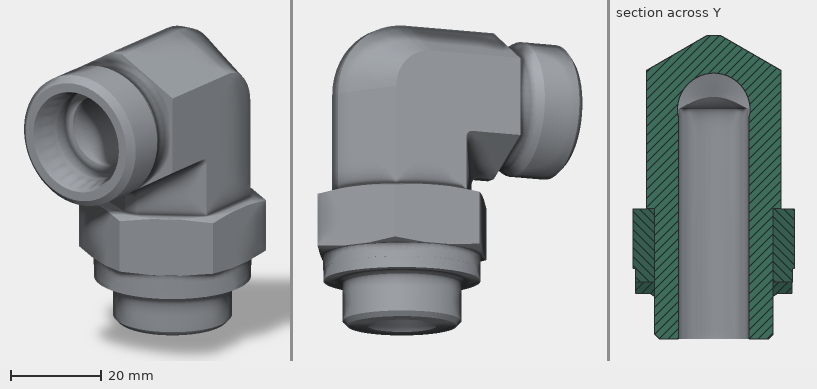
import cadquery as cq
import math


arm_flats = 30.0
arm_half_depth = 16.45
port_arm_length = 21.9
inner_corner_radius = 1.7

port_end = 38.0
port_diameter = arm_flats
port_neck_diameter = 27.05
port_neck_radius = 1.15
port_shoulder_start = 28.0
port_shoulder_angle = 30
port_chamfer = 1.5

socket_mouth_diameter = 23.0
socket_diameter = 20.0
socket_cone_angle = 12
socket_depth = 10.45
port_bore_diameter = 16.0
stem_bore_diameter = 15.5
drill_half_angle = 60

stem_end = 51.0
stem_diameter = 26.45
stem_chamfer = 1.1

nut_flats = 36.0
nut_top = 22.05
nut_height = 13.3
nut_chamfer_diameter = 35.75
nut_chamfer_angle = 15
collar_diameter = 35.0
collar_height = 3.05

ring_diameter = 34.95
ring_height = 2.5
lip_diameter = 28.25
lip_height = 0.7


def tan_deg(angle):
    return math.tan(math.radians(angle))


def revolve_on_z(points):
    """Turn an outline of (radius, height) points about Z."""
    return cq.Workplane("YZ").polyline(points).close().revolve(360, (0, 0, 0), (0, 1, 0))


def arm_outline():
    """Cross-section of an arm, centred, with its points along the second axis."""
    half_flats = arm_flats / 2
    corner = half_flats * tan_deg(30)
    point_half_width = (2 * corner - arm_half_depth) / tan_deg(30)
    upper = [
        (half_flats, corner),
        (point_half_width, arm_half_depth),
        (-point_half_width, arm_half_depth),
        (-half_flats, corner),
    ]
    lower = [(-x, -y) for x, y in upper]
    return upper, lower


def elbow_arms():
    upper, lower = arm_outline()
    stem_arm = cq.Workplane("XY").polyline(upper + lower).close().extrude(-nut_top)
    port_arm = cq.Workplane("XZ").polyline(upper + lower).close().extrude(port_arm_length)

    half_outline = [(arm_flats / 2, 0)] + upper + [(-arm_flats / 2, 0)]
    bend = cq.Workplane("XY").polyline(half_outline).close().revolve(90, (0, 0, 0), (1, 0, 0))

    arms = stem_arm.union(port_arm).union(bend)

    corner_depth = arm_flats / 2 * tan_deg(30)
    edge_zone = cq.selectors.BoxSelector(
        (-arm_flats, -arm_half_depth - 0.7, -arm_half_depth - 0.7),
        (arm_flats, -corner_depth - 0.7, -corner_depth - 0.7),
    )
    mitre_edges = arms.edges(edge_zone).filter(
        lambda edge: all(abs(v.Y - v.Z) < 0.001 for v in edge.Vertices())
    )
    return mitre_edges.fillet(inner_corner_radius)


def on_port_axis(body):
    """Lay a body made along +Z onto the port axis, pointing to -Y."""
    return body.rotate((0, 0, 0), (1, 0, 0), 90)


def port_outside():
    neck_r = port_neck_diameter / 2
    outer_r = port_diameter / 2
    shoulder_length = (outer_r - neck_r) / tan_deg(port_shoulder_angle)
    shoulder_foot = port_shoulder_start - shoulder_length
    blend = port_neck_radius * tan_deg(port_shoulder_angle / 2)
    angle = math.radians(port_shoulder_angle)
    mid_angle = angle / 2
    blend_start = shoulder_foot - blend
    blend_mid = (
        neck_r + port_neck_radius * (1 - math.cos(mid_angle)),
        blend_start + port_neck_radius * math.sin(mid_angle),
    )
    blend_end = (neck_r + blend * math.sin(angle), shoulder_foot + blend * math.cos(angle))
    root_mid_offset = port_neck_radius * (1 - math.sqrt(0.5))
    profile = (
        cq.Workplane("XZ")
        .moveTo(0, port_arm_length)
        .lineTo(neck_r + port_neck_radius, port_arm_length)
        .threePointArc(
            (neck_r + root_mid_offset, port_arm_length + root_mid_offset),
            (neck_r, port_arm_length + port_neck_radius),
        )
        .lineTo(neck_r, blend_start)
        .threePointArc(blend_mid, blend_end)
        .lineTo(outer_r, port_shoulder_start)
        .lineTo(outer_r, port_end - port_chamfer)
        .lineTo(outer_r - port_chamfer, port_end)
        .lineTo(0, port_end)
        .close()
    )
    return on_port_axis(profile.revolve(360, (0, 0, 0), (0, 1, 0)))


def port_cavity():
    mouth_r = socket_mouth_diameter / 2
    socket_r = socket_diameter / 2
    bore_r = port_bore_diameter / 2
    cone_depth = (mouth_r - socket_r) / tan_deg(socket_cone_angle)
    cavity = revolve_on_z([
        (0, -bore_r / tan_deg(drill_half_angle)),
        (bore_r, 0),
        (bore_r, port_end - socket_depth),
        (socket_r, port_end - socket_depth),
        (socket_r, port_end - cone_depth),
        (mouth_r, port_end),
        (0, port_end),
    ])
    return on_port_axis(cavity)


def stem_bore():
    bore_r = stem_bore_diameter / 2
    return revolve_on_z([
        (0, -stem_end),
        (bore_r, -stem_end),
        (bore_r, 0),
        (0, bore_r / tan_deg(drill_half_angle)),
    ])


def make_housing():
    stem = (
        cq.Workplane("XY")
        .workplane(offset=-stem_end)
        .circle(stem_diameter / 2)
        .extrude(stem_end - nut_top)
        .faces("<Z")
        .chamfer(stem_chamfer)
    )
    solid = elbow_arms().union(stem).union(port_outside())
    return solid.cut(port_cavity().union(stem_bore()))


def make_nut():
    nut_bottom = -nut_top - nut_height
    hexagon = (
        cq.Workplane("XY")
        .workplane(offset=nut_bottom)
        .polygon(6, nut_flats, circumscribed=True)
        .extrude(nut_height)
    )
    chamfer_r = nut_chamfer_diameter / 2
    rim_r = nut_flats
    rim_drop = (rim_r - chamfer_r) * tan_deg(nut_chamfer_angle)
    envelope = revolve_on_z([
        (0, nut_bottom),
        (chamfer_r, nut_bottom),
        (rim_r, nut_bottom + rim_drop),
        (rim_r, -nut_top - rim_drop),
        (chamfer_r, -nut_top),
        (0, -nut_top),
    ])
    collar = (
        cq.Workplane("XY")
        .workplane(offset=nut_bottom)
        .circle(collar_diameter / 2)
        .extrude(-collar_height)
    )
    hole = (
        cq.Workplane("XY")
        .workplane(offset=-nut_top)
        .circle(stem_diameter / 2)
        .extrude(-nut_height - collar_height)
    )
    return hexagon.intersect(envelope).union(collar).cut(hole)


def make_ring():
    ring_top = -nut_top - nut_height - collar_height
    ring_bottom = ring_top - ring_height
    return revolve_on_z([
        (stem_diameter / 2, ring_top),
        (ring_diameter / 2, ring_top),
        (ring_diameter / 2, ring_bottom),
        (lip_diameter / 2, ring_bottom),
        (stem_diameter / 2, ring_bottom - lip_height),
    ])


housing = make_housing()
nut = make_nut()
ring = make_ring()

result = cq.Compound.makeCompound([housing.val(), nut.val(), ring.val()])